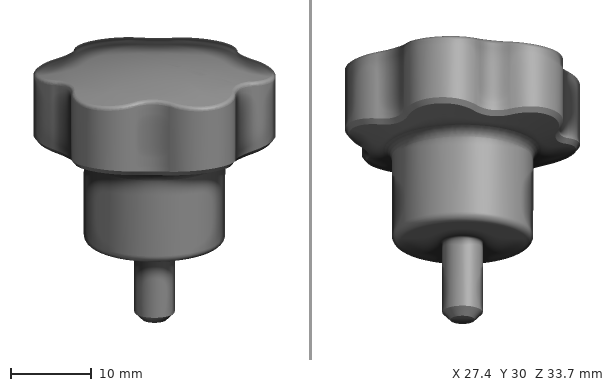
import cadquery as cq
import math

stud_diameter = 5.0
stud_length = 10.1
stud_chamfer = 0.98
stud_root_fillet = 0.2
hub_diameter = 17.5
hub_bottom_round = 0.98

lobe_count = 6
lobe_radius = 5.3
grip_diameter = 29.98
valley_depth_radius = 12.4

total_height = 33.65
dome_radius = 70.0
underside_root_height = 21.95
underside_angle = 14.0
top_round = 0.5
underside_chamfer = 0.5
neck_fillet = 1.25

hub_radius = hub_diameter / 2
grip_radius = grip_diameter / 2
lobe_center = grip_radius - lobe_radius
half_pitch = math.pi / lobe_count


def polar(radius, angle):
    return (radius * math.cos(angle), radius * math.sin(angle))


def grip_outline():
    """Closed outline of lobes joined by tangent concave arcs."""
    valley_center = (lobe_center**2 - (valley_depth_radius - lobe_radius) ** 2) / (
        2 * (lobe_center * math.cos(half_pitch) - valley_depth_radius + lobe_radius)
    )
    valley_x, valley_y = polar(valley_center, half_pitch)
    tangent_angle = math.atan2(valley_y, valley_x - lobe_center)
    tangent_x = lobe_center + lobe_radius * math.cos(tangent_angle)
    tangent_y = lobe_radius * math.sin(tangent_angle)
    tangent_distance = math.hypot(tangent_x, tangent_y)
    tangent_offset = math.atan2(tangent_y, tangent_x)

    first_lobe = math.pi / 2
    outline = cq.Workplane("XY").moveTo(*polar(tangent_distance, first_lobe - tangent_offset))
    for i in range(lobe_count):
        lobe = first_lobe + 2 * half_pitch * i
        next_lobe = lobe + 2 * half_pitch
        outline = outline.threePointArc(
            polar(grip_radius, lobe), polar(tangent_distance, lobe + tangent_offset)
        ).threePointArc(
            polar(valley_depth_radius, lobe + half_pitch),
            polar(tangent_distance, next_lobe - tangent_offset),
        )
    return outline.close()


def grip_envelope():
    """Revolved body with a domed top and conical underside, wider than the lobes."""
    outer = grip_radius + lobe_radius
    slope = math.tan(math.radians(underside_angle))
    cone_apex = underside_root_height - hub_radius * slope

    def dome_height(radius):
        return total_height - dome_radius + math.sqrt(dome_radius**2 - radius**2)

    return (
        cq.Workplane("XZ")
        .moveTo(0, cone_apex)
        .lineTo(outer, cone_apex + outer * slope)
        .lineTo(outer, dome_height(outer))
        .threePointArc((outer / 2, dome_height(outer / 2)), (0, total_height))
        .close()
        .revolve(360, (0, 0, 0), (0, 1, 0))
    )


def edges_near_height(height):
    """Selector for edges lying entirely within a thin slab around the given height."""
    margin = 0.17
    return cq.selectors.BoxSelector(
        (-grip_radius, -grip_radius, height - margin),
        (grip_radius, grip_radius, height + margin),
        boundingbox=True,
    )


grip = grip_outline().extrude(total_height).intersect(grip_envelope())
grip = grip.faces(">Z").edges().fillet(top_round)
grip = grip.faces("<Z").edges().chamfer(underside_chamfer)

hub_top = underside_root_height + underside_chamfer
hub = (
    cq.Workplane("XY", origin=(0, 0, stud_length))
    .circle(hub_radius)
    .extrude(hub_top - stud_length)
    .faces("<Z")
    .edges()
    .fillet(hub_bottom_round)
)
body = grip.union(hub)
body = body.edges(edges_near_height(underside_root_height)).fillet(neck_fillet)

stud = cq.Workplane("XY").circle(stud_diameter / 2).extrude(stud_length)
stud = stud.faces("<Z").edges().chamfer(stud_chamfer)

result = body.union(stud)
result = result.edges(edges_near_height(stud_length)).fillet(stud_root_fillet)